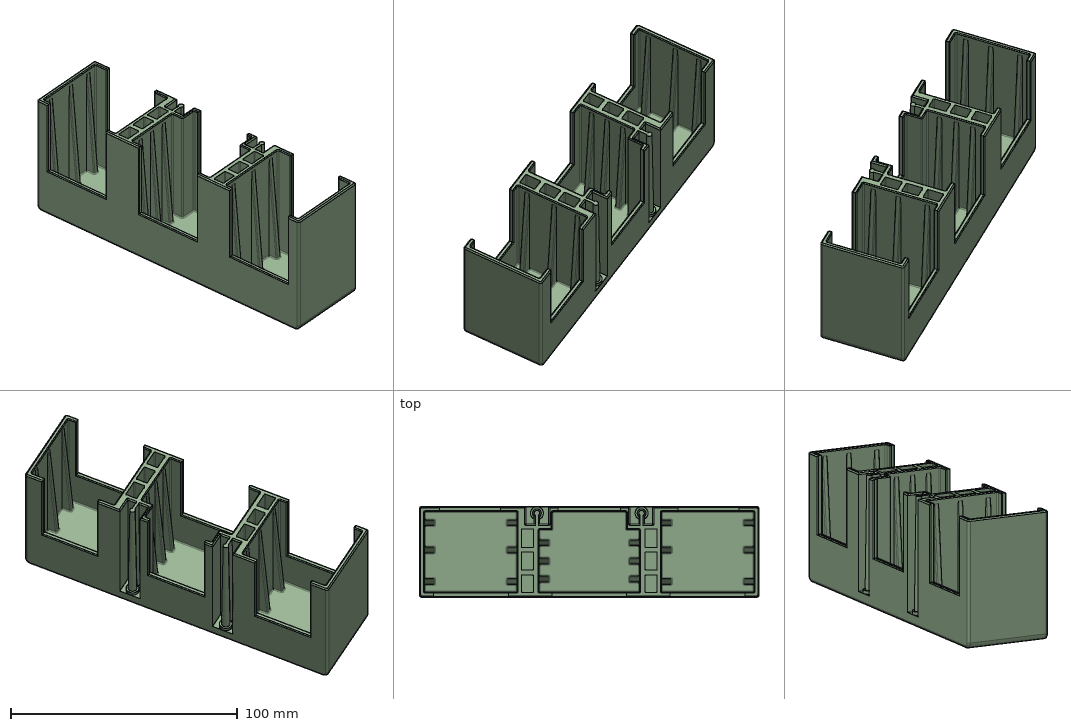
import cadquery as cq

LENGTH = 150.0
DEPTH = 40.0
HEIGHT = 58.5
FLOOR = 5.0
END_ROUND = 2.7
EDGE_ROUND = 1.0
RIM_CHAMFER = 0.6
CUT_MARGIN = 1.5
CHAMFER_ANGLE = 45

HALF_LENGTH = LENGTH / 2
HALF_DEPTH = DEPTH / 2

WALL = 2.2
CORNER_ROUND = 0.6
FLOOR_ROUND = 0.5
INNER_CHAMFER = 0.5
CAVITY_FRONT = -HALF_DEPTH + WALL
CAVITY_BACK = HALF_DEPTH - WALL
OUTER_LEFT = -HALF_LENGTH + WALL
OUTER_RIGHT = -31.8
MIDDLE_HALF = 22.2
MIDDLE_BACK_HALF = 16.4
MIDDLE_STEP = 9.9

SILL = 23.0
WINDOW_CHAMFER = 0.5
OUTER_FRONT_WINDOW_CENTER = -52.2
OUTER_BACK_WINDOW_CENTER = -52.6
FRONT_WINDOW_WIDTH = 33.0
OUTER_BACK_WINDOW_WIDTH = 27.0
MIDDLE_BACK_WINDOW_WIDTH = 27.6

RIB_REACH = 4.5
RIB_WIDTH = 2.5
RIB_TOP = 56.2
RIB_ROUND = 0.5
RIB_ROOT = 1.5
OUTER_RIB_YS = (-13.0, 0.9, 12.9)
MIDDLE_RIB_YS = (-12.0, -4.0, 4.0)

CELL_LEFT = -30.0
CELL_WIDTH = 5.4
CELL_ROUND = 0.5
CELL_SPANS = ((-17.8, -10.2), (-8.0, 0.0), (2.0, 10.2))
BAY_LEFT = -27.9
BAY_RIGHT = -18.0
BAY_FRONT = 12.3
BAY_CHAMFER = 0.6

POST_X = -23.1
POST_Y = 17.1
POST_TOP_RADIUS = 1.2
POST_BASE_RADIUS = 2.0
WEB_TOP_WIDTH = 1.4
WEB_BASE_WIDTH = 2.4
FOOT_RADIUS = 2.8
FOOT_HEIGHT = 1.5


def box(x0, x1, y0, y1, z0, z1):
    return cq.Workplane("XY").box(x1 - x0, y1 - y0, z1 - z0, centered=False).translate((x0, y0, z0))


def both_sides(shape):
    """The shape together with its mirror image across the middle of the length."""
    return shape.union(shape.mirror("YZ"))


def outer_block():
    block = cq.Workplane("XY").box(LENGTH, DEPTH, HEIGHT, centered=(True, True, False))
    block = block.edges("|Y and <Z").fillet(END_ROUND)
    block = block.faces("<Y or >Y").edges("not >Z").fillet(EDGE_ROUND)
    return block.faces(">Z").edges().chamfer(RIM_CHAMFER)


def pocket_space(x0, x1, y0, y1, chamfer):
    """Space from the floor to the rim; stops where the rim chamfer begins."""
    return box(x0, x1, y0, y1, FLOOR, HEIGHT - chamfer)


def flare_rim(space, chamfer):
    """Widen the top of a pocket space by 45 degrees up to the rim."""
    flare = space.faces(">Z").wires().toPending().extrude(chamfer, taper=-CHAMFER_ANGLE, combine=False)
    return space.union(flare)


def guide_rib(wall_x, y, direction):
    """Wedge standing on the floor against a wall; direction is +1 or -1 along X."""
    foot_x = wall_x + direction * RIB_REACH
    root_x = wall_x - direction * RIB_ROOT
    rib = (
        cq.Workplane("XZ", origin=(0, y + RIB_WIDTH / 2, 0))
        .polyline([(root_x, FLOOR), (foot_x, FLOOR), (wall_x, RIB_TOP), (root_x, RIB_TOP)])
        .close()
        .extrude(RIB_WIDTH)
    )
    return rib.edges("not(|X or |Y or |Z)").fillet(RIB_ROUND)


def compartment(space, ribs):
    """Cutter for a compartment: upright corners, ribs left standing, rounded floor, flared rim."""
    space = space.edges("|Z").fillet(CORNER_ROUND)
    space = flare_rim(space, INNER_CHAMFER)
    for rib in ribs:
        space = space.cut(rib)
    return space.faces("<Z").edges().fillet(FLOOR_ROUND)


def outer_compartment():
    space = pocket_space(OUTER_LEFT, OUTER_RIGHT, CAVITY_FRONT, CAVITY_BACK, INNER_CHAMFER)
    ribs = [guide_rib(OUTER_LEFT, y, 1) for y in OUTER_RIB_YS]
    ribs += [guide_rib(OUTER_RIGHT, y, -1) for y in OUTER_RIB_YS]
    return compartment(space, ribs)


def middle_compartment():
    wide = pocket_space(-MIDDLE_HALF, MIDDLE_HALF, CAVITY_FRONT, MIDDLE_STEP, INNER_CHAMFER)
    narrow = pocket_space(-MIDDLE_BACK_HALF, MIDDLE_BACK_HALF, CAVITY_FRONT, CAVITY_BACK, INNER_CHAMFER)
    ribs = [guide_rib(-MIDDLE_HALF, y, 1) for y in MIDDLE_RIB_YS]
    ribs += [guide_rib(MIDDLE_HALF, y, -1) for y in MIDDLE_RIB_YS]
    return compartment(wide.union(narrow), ribs)


def window(center, width, wall_front):
    """Opening through a wall, chamfered along jambs and sill on both faces of the wall."""
    wall_back = wall_front + WALL
    top = HEIGHT + CUT_MARGIN
    opening = box(center - width / 2, center + width / 2, wall_front, wall_back, SILL, top)
    flare_width = width + 2 * WINDOW_CHAMFER
    flare_bottom = SILL - WINDOW_CHAMFER
    flare_height = top + WINDOW_CHAMFER - flare_bottom
    for face_y, into_wall in ((wall_front, -WINDOW_CHAMFER), (wall_back, WINDOW_CHAMFER)):
        flare = (
            cq.Workplane("XZ", origin=(center, face_y, flare_bottom + flare_height / 2))
            .rect(flare_width, flare_height)
            .extrude(into_wall, taper=CHAMFER_ANGLE)
        )
        opening = opening.union(flare)
    return opening


def divider_cell(y0, y1):
    cell = box(CELL_LEFT, CELL_LEFT + CELL_WIDTH, y0, y1, FLOOR, HEIGHT)
    return cell.edges("|Z").fillet(CELL_ROUND)


def fastening_bay():
    bay = pocket_space(BAY_LEFT, BAY_RIGHT, BAY_FRONT, HALF_DEPTH + CUT_MARGIN, BAY_CHAMFER)
    return flare_rim(bay, BAY_CHAMFER)


def bay_post():
    """Tapered web carrying a tapered round post on a low round foot."""
    height = HEIGHT - FLOOR
    web_length = POST_Y - BAY_FRONT + BAY_CHAMFER
    web = (
        cq.Workplane("XY", origin=(POST_X, POST_Y - web_length / 2, FLOOR))
        .rect(WEB_BASE_WIDTH, web_length)
        .workplane(offset=height)
        .rect(WEB_TOP_WIDTH, web_length)
        .loft(ruled=True)
    )
    post = (
        cq.Workplane("XY", origin=(POST_X, POST_Y, FLOOR))
        .circle(POST_BASE_RADIUS)
        .workplane(offset=height)
        .circle(POST_TOP_RADIUS)
        .loft(ruled=True)
    )
    foot = cq.Workplane("XY", origin=(POST_X, POST_Y, FLOOR)).circle(FOOT_RADIUS).extrude(FOOT_HEIGHT)
    return web.union(post).union(foot)


result = outer_block()

result = result.cut(both_sides(outer_compartment()))
result = result.cut(middle_compartment())

result = result.cut(both_sides(window(OUTER_FRONT_WINDOW_CENTER, FRONT_WINDOW_WIDTH, -HALF_DEPTH)))
result = result.cut(both_sides(window(OUTER_BACK_WINDOW_CENTER, OUTER_BACK_WINDOW_WIDTH, CAVITY_BACK)))
result = result.cut(window(0, FRONT_WINDOW_WIDTH, -HALF_DEPTH))
result = result.cut(window(0, MIDDLE_BACK_WINDOW_WIDTH, CAVITY_BACK))

for cell_front, cell_back in CELL_SPANS:
    result = result.cut(both_sides(divider_cell(cell_front, cell_back)))
result = result.cut(both_sides(fastening_bay()))
result = result.union(both_sides(bay_post()))